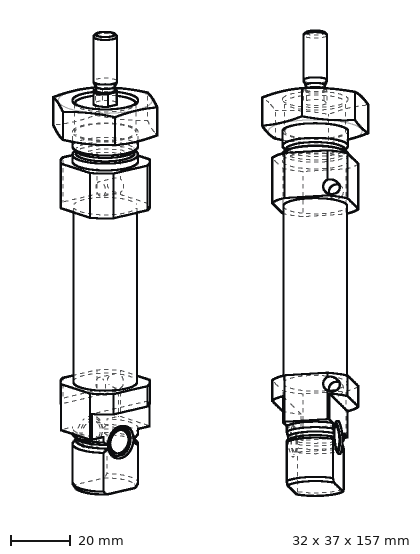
import cadquery as cq
import math


OVERALL_LENGTH = 157.0
ROD_DIAMETER = 8.0
ROD_FLATS_WIDTH = 7.0
ROD_SHOULDER_Z = 137.2
ROD_NECK_DIAMETER = 6.5
ROD_NECK_BOTTOM_Z = 137.5
ROD_NECK_TOP_Z = 139.0
ROD_THREAD_Z = 140.7
ROD_TIP_CHAMFER = 0.8

NUT_WIDTH = 32.0
NUT_BOTTOM_Z = 123.1
NUT_HEIGHT = 11.0
NUT_FACE_DIAMETER = 31.4
NUT_CHAMFER_HEIGHT = 0.6
NUT_BORE_DIAMETER = 20.4
NUT_COUNTERSINK_DIAMETER = 22.0
NUT_COUNTERSINK_DEPTH = 1.1

NECK_DIAMETER = 22.0
TUBE_DIAMETER = 21.4
GROOVE_DIAMETER = 19.6
CAP_WIDTH = 26.0
CAP_ROUND_DIAMETER = 30.0
FRONT_CAP_BOTTOM_Z = 97.3
FRONT_CAP_TOP_Z = 112.9
FRONT_GROOVE_BOTTOM_Z = 115.2
FRONT_GROOVE_FLOOR_Z = 115.7
FRONT_GROOVE_TOP_Z = 118.0
HOUSING_TOP_Z = NUT_BOTTOM_Z + NUT_HEIGHT - NUT_COUNTERSINK_DEPTH
REAR_CAP_BOTTOM_Z = 20.3
REAR_CAP_TOP_Z = 36.3
REAR_GROOVE_BOTTOM_Z = 14.8
REAR_GROOVE_TOP_Z = 18.4
GROOVE_DEPTH = (NECK_DIAMETER - GROOVE_DIAMETER) / 2

LUG_THICKNESS = 16.0
LUG_TOP_Z = 29.2
LUG_END_DIAMETER = 20.4
LUG_END_CHAMFER_HEIGHT = 1.3
CROSS_HOLE_DIAMETER = 8.0
CROSS_HOLE_MOUTH_DIAMETER = 11.1
CROSS_HOLE_STEP_DIAMETER = 9.7
CROSS_HOLE_Z = 17.1

PORT_DIAMETER = 5.0
PORT_X = -8.5
PORT_DEPTH = 7.8
FRONT_PORT_Z = 100.5
REAR_PORT_Z = 32.5


def revolve_profile(points):
    """Revolve a closed (radius, z) outline about the Z axis."""
    return cq.Workplane("XZ").polyline(points).close().revolve(360, (0, 0), (0, 1))


def make_cap(bottom_z, top_z):
    """Square end cap whose corners are rounded by a larger cylinder."""
    height = top_z - bottom_z
    base = cq.Workplane("XY").workplane(offset=bottom_z)
    square = base.rect(CAP_WIDTH, CAP_WIDTH).extrude(height)
    return square.intersect(base.circle(CAP_ROUND_DIAMETER / 2).extrude(height))


def make_barrel():
    """Turned core of the housing: rear lug, tube and front neck."""
    return revolve_profile(
        [
            (0, 0),
            (LUG_END_DIAMETER / 2, 0),
            (NECK_DIAMETER / 2, LUG_END_CHAMFER_HEIGHT),
            (NECK_DIAMETER / 2, REAR_GROOVE_BOTTOM_Z),
            (GROOVE_DIAMETER / 2, REAR_GROOVE_BOTTOM_Z + GROOVE_DEPTH),
            (GROOVE_DIAMETER / 2, REAR_GROOVE_TOP_Z - GROOVE_DEPTH),
            (NECK_DIAMETER / 2, REAR_GROOVE_TOP_Z),
            (NECK_DIAMETER / 2, REAR_CAP_BOTTOM_Z),
            (TUBE_DIAMETER / 2, REAR_CAP_BOTTOM_Z),
            (TUBE_DIAMETER / 2, FRONT_CAP_TOP_Z),
            (NECK_DIAMETER / 2, FRONT_CAP_TOP_Z),
            (NECK_DIAMETER / 2, FRONT_GROOVE_BOTTOM_Z),
            (GROOVE_DIAMETER / 2, FRONT_GROOVE_FLOOR_Z),
            (GROOVE_DIAMETER / 2, FRONT_GROOVE_TOP_Z - GROOVE_DEPTH),
            (NECK_DIAMETER / 2, FRONT_GROOVE_TOP_Z),
            (NECK_DIAMETER / 2, NUT_BOTTOM_Z),
            (NUT_BORE_DIAMETER / 2, NUT_BOTTOM_Z),
            (NUT_BORE_DIAMETER / 2, HOUSING_TOP_Z),
            (0, HOUSING_TOP_Z),
        ]
    )


def cut_lug_flats(body):
    """Flatten the rear lug on both X sides."""
    waste_width = (CAP_WIDTH - LUG_THICKNESS) / 2
    for side in (-1, 1):
        waste = (
            cq.Workplane("XY")
            .center(side * (LUG_THICKNESS + waste_width) / 2, 0)
            .rect(waste_width, CAP_WIDTH)
            .extrude(LUG_TOP_Z)
        )
        body = body.cut(waste)
    return body


def cut_cross_hole(body):
    """Drill the lug along X and sink a bevelled, flat-bottomed recess into both mouths."""
    hole_radius = CROSS_HOLE_DIAMETER / 2
    mouth_radius = CROSS_HOLE_MOUTH_DIAMETER / 2
    half_length = LUG_THICKNESS / 2
    step_radius = CROSS_HOLE_STEP_DIAMETER / 2
    step_x = half_length - (mouth_radius - step_radius)
    cutter = (
        cq.Workplane("XY")
        .polyline(
            [
                (-half_length, 0),
                (-half_length, mouth_radius),
                (-step_x, step_radius),
                (-step_x, hole_radius),
                (step_x, hole_radius),
                (step_x, step_radius),
                (half_length, mouth_radius),
                (half_length, 0),
            ]
        )
        .close()
        .revolve(360, (0, 0), (1, 0))
        .translate((0, 0, CROSS_HOLE_Z))
    )
    return body.cut(cutter)


def cut_ports(body):
    """Sink a blind port into the +Y side of each cap."""
    for port_z in (FRONT_PORT_Z, REAR_PORT_Z):
        port = (
            cq.Workplane("XZ", origin=(PORT_X, CAP_WIDTH / 2, port_z))
            .circle(PORT_DIAMETER / 2)
            .extrude(PORT_DEPTH)
        )
        body = body.cut(port)
    return body


def make_housing():
    """Cylinder body: turned barrel with two end caps, rear lug and air ports."""
    housing = make_barrel()
    housing = housing.union(make_cap(FRONT_CAP_BOTTOM_Z, FRONT_CAP_TOP_Z))
    housing = housing.union(make_cap(REAR_CAP_BOTTOM_Z, REAR_CAP_TOP_Z))
    housing = cut_lug_flats(housing)
    housing = cut_cross_hole(housing)
    return cut_ports(housing)


def make_nut():
    """Hexagon nut with corners on Y, chamfered corners and a countersunk bore."""
    corner_diameter = NUT_WIDTH / math.cos(math.pi / 6)
    top_z = NUT_BOTTOM_Z + NUT_HEIGHT
    hexagon = (
        cq.Workplane("XY")
        .workplane(offset=NUT_BOTTOM_Z)
        .transformed(rotate=(0, 0, 90))
        .polygon(6, corner_diameter)
        .extrude(NUT_HEIGHT)
    )
    bore_radius = NUT_BORE_DIAMETER / 2
    envelope = revolve_profile(
        [
            (bore_radius, NUT_BOTTOM_Z),
            (NUT_FACE_DIAMETER / 2, NUT_BOTTOM_Z),
            (corner_diameter / 2, NUT_BOTTOM_Z + NUT_CHAMFER_HEIGHT),
            (corner_diameter / 2, top_z - NUT_CHAMFER_HEIGHT),
            (NUT_FACE_DIAMETER / 2, top_z),
            (NUT_COUNTERSINK_DIAMETER / 2, top_z),
            (bore_radius, top_z - NUT_COUNTERSINK_DEPTH),
        ]
    )
    return hexagon.intersect(envelope)


def make_rod():
    """Rod end with a necked thread, standing on the housing's front face."""
    radius = ROD_DIAMETER / 2
    neck_radius = ROD_NECK_DIAMETER / 2
    rod = revolve_profile(
        [
            (0, HOUSING_TOP_Z),
            (radius, HOUSING_TOP_Z),
            (radius, ROD_SHOULDER_Z),
            (neck_radius, ROD_NECK_BOTTOM_Z),
            (neck_radius, ROD_NECK_TOP_Z),
            (radius, ROD_THREAD_Z),
            (radius, OVERALL_LENGTH - ROD_TIP_CHAMFER),
            (radius - ROD_TIP_CHAMFER, OVERALL_LENGTH),
            (0, OVERALL_LENGTH),
        ]
    )
    flat_depth = (ROD_DIAMETER - ROD_FLATS_WIDTH) / 2
    for side in (-1, 1):
        waste = (
            cq.Workplane("XY")
            .workplane(offset=HOUSING_TOP_Z)
            .center(side * (ROD_FLATS_WIDTH + flat_depth) / 2, 0)
            .rect(flat_depth, ROD_DIAMETER)
            .extrude(ROD_NECK_BOTTOM_Z - HOUSING_TOP_Z)
        )
        rod = rod.cut(waste)
    return rod


housing = make_housing()
nut = make_nut()
rod = make_rod()

result = cq.Compound.makeCompound([housing.val(), nut.val(), rod.val()])